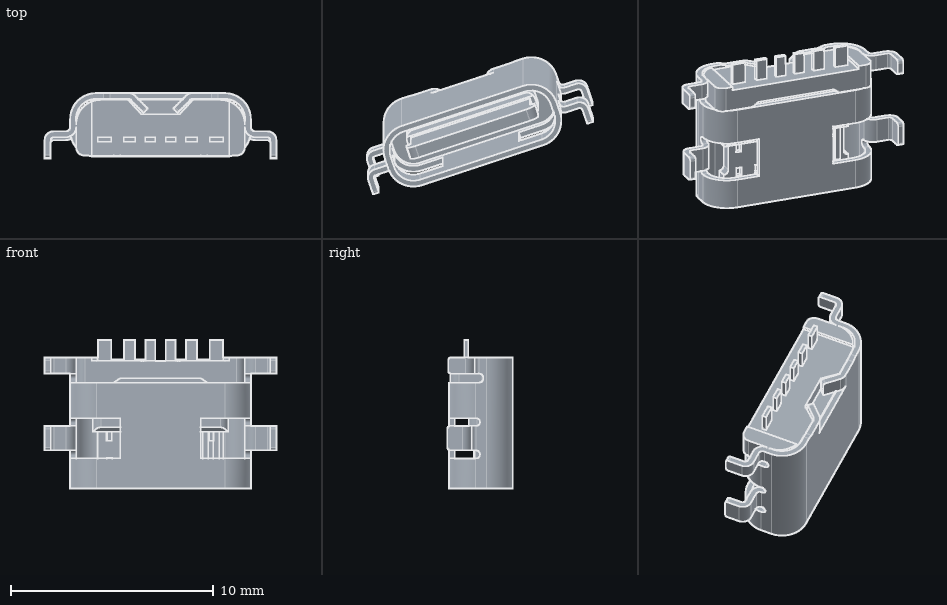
import cadquery as cq
import math


WIDTH = 8.94
DEPTH = 3.16
SHELL_TOP = 6.48
WALL = 0.3
SHELL_RADIUS = 1.3
FRONT_WALL_TOP = 5.24
HALF_WIDTH = WIDTH / 2
HALF_DEPTH = DEPTH / 2
INNER_HALF_WIDTH = HALF_WIDTH - WALL
INNER_HALF_DEPTH = HALF_DEPTH - WALL
INNER_RADIUS = SHELL_RADIUS - WALL

FOOT_SPAN = 11.46
FOOT_ROOT_RADIUS = 0.2
FOOT_KNEE_RADIUS = 0.15
FOOT_TIP_ROUND = 0.15
LOWER_FOOT_Z = (1.89, 3.10)
LOWER_FOOT_SHELF_Y = -0.457
LOWER_FOOT_TIP_Y = -1.66
UPPER_FOOT_Z = (5.68, SHELL_TOP)
UPPER_FOOT_SHELF_Y = -0.31
UPPER_FOOT_TIP_Y = -1.62

WINDOW_Z = (1.49, 3.475)
WINDOW_INNER_X = 1.98
LOWER_SLOT_END_Y = -0.04
UPPER_SLOT_END_Y = 0.13

BACK_STEP_DROP = 0.1
BACK_STEP_OUTER_X = 2.82
BACK_STEP_INNER_X = 2.51
SPRING_BOTTOM = 5.465
SPRING_TOP = SHELL_TOP - BACK_STEP_DROP
SPRING_CORNER_X = 1.4
SPRING_TIP_X = 0.63
SPRING_INNER_RADIUS = 0.2
SPRING_TIP_ROUND = 0.1

BLOCK_FRONT_Y = -1.517
BLOCK_BACK_Y = 1.245
BLOCK_FRONT_RADIUS = 0.42
BLOCK_BACK_RADIUS = 1.2
BLOCK_BOTTOM = 4.0
PIN_FLOOR_Z = 6.31
PIN_FLOOR_HALF_WIDTH = 3.39
NOTCH_OUTER_X = 1.6
NOTCH_INNER_X = 0.95
NOTCH_FLOOR_Y = 0.53
RELIEF_HEIGHT = 0.21
RELIEF_TOP_HALF_WIDTH = 2.0
RELIEF_BOTTOM_HALF_WIDTH = 2.3

BASE_HALF_WIDTH = 3.34
BASE_HALF_DEPTH = 0.6
BASE_RADIUS = 0.4
BASE_BOTTOM = 2.82
BASE_SLOPE = 0.21
TONGUE_HALF_DEPTH = 0.3
TONGUE_HALF_WIDTH = 3.1
TONGUE_TIP_Z = 0.5
TONGUE_TIP_RADIUS = 0.45
LATCH_SHOULDER_Z = 1.27

CONTACT_WIDTH = 0.27
CONTACT_OPENING_DEPTH = 0.25
CONTACT_UPPER_Z = (2.37, BASE_BOTTOM)
CONTACT_LOWER_Z = (1.1, 1.52)
CONTACT_UPPER_X = (-2.55, 2.49)
CONTACT_LOWER_X = (-2.53, -1.53)
CONTACT_LEDGE_WIDTH = 0.06
CONTACT_LEDGE_SETBACK = 0.1
PAD_CENTER_X = 2.49
PAD_WIDTH = 0.8
PAD_BOTTOM = 1.1
PAD_HEIGHT = 0.06
PAD_GROOVE_WIDTH = 0.25

PINS = ((0.5, 0.5), (1.53, 0.56), (2.76, 0.67))
PIN_TOP = 7.35
PIN_THICKNESS = 0.2
PIN_CENTER_Y = -0.72


def box(x_range, y_range, z_range):
    size = [high - low for low, high in (x_range, y_range, z_range)]
    corner = (x_range[0], y_range[0], z_range[0])
    return cq.Workplane("XY").box(*size, centered=False).translate(corner)


def centered_range(center, size):
    return (center - size / 2, center + size / 2)


def rounded_bar(half_width, half_depth, radius, z_range):
    bar = box((-half_width, half_width), (-half_depth, half_depth), z_range)
    return bar.edges("|Z").fillet(radius)


def with_mirror(shape):
    return shape.union(shape.mirror("YZ"))


def side_slot(z_range, end_y):
    """Opening through both side walls, open to the front, with a round end at end_y."""
    radius = (z_range[1] - z_range[0]) / 2
    center_y = end_y - radius
    center_z = (z_range[0] + z_range[1]) / 2
    front = box((WINDOW_INNER_X, HALF_WIDTH), (-HALF_DEPTH, center_y), z_range)
    end = (
        cq.Workplane("YZ", origin=(INNER_HALF_WIDTH - WALL, 0, 0))
        .center(center_y, center_z)
        .circle(radius)
        .extrude(2 * WALL)
    )
    return with_mirror(front.union(end))


def foot_bend_y(shelf_y):
    return shelf_y + FOOT_ROOT_RADIUS


def foot_pair(z_range, shelf_y, tip_y):
    """Two mirrored strips that leave the side walls, run outward and turn to the front."""
    outer_x = FOOT_SPAN / 2
    root_x = HALF_WIDTH + FOOT_ROOT_RADIUS
    knee_outer = FOOT_KNEE_RADIUS + WALL
    knee_x = outer_x - knee_outer
    knee_y = shelf_y - knee_outer
    foot = (
        cq.Workplane("XY", origin=(0, 0, z_range[0]))
        .moveTo(INNER_HALF_WIDTH, foot_bend_y(shelf_y))
        .lineTo(HALF_WIDTH, foot_bend_y(shelf_y))
        .radiusArc((root_x, shelf_y), -FOOT_ROOT_RADIUS)
        .lineTo(knee_x, shelf_y)
        .radiusArc((outer_x, knee_y), knee_outer)
        .lineTo(outer_x, tip_y)
        .lineTo(outer_x - WALL, tip_y)
        .lineTo(outer_x - WALL, knee_y)
        .radiusArc((knee_x, shelf_y - WALL), -FOOT_KNEE_RADIUS)
        .lineTo(root_x, shelf_y - WALL)
        .radiusArc((INNER_HALF_WIDTH, foot_bend_y(shelf_y)), FOOT_ROOT_RADIUS + WALL)
        .close()
        .extrude(z_range[1] - z_range[0])
    )
    foot = foot.faces("<Y").edges("|X").fillet(FOOT_TIP_ROUND)
    return with_mirror(foot)


def spring_pair():
    """Two mirrored tabs that leave the top of the back wall and lean inward."""
    outer_radius = SPRING_INNER_RADIUS + WALL
    bend = math.radians(45)
    tangent_length = outer_radius * math.tan(bend / 2)
    start_x = SPRING_CORNER_X + tangent_length
    leg_length = (SPRING_CORNER_X - SPRING_TIP_X) / math.cos(bend)
    center_y = HALF_DEPTH - outer_radius

    def on_bend(radius):
        return (start_x - radius * math.sin(bend), center_y + radius * math.cos(bend))

    def on_tip(radius):
        reach = (leg_length - tangent_length) * math.cos(bend)
        x, y = on_bend(radius)
        return (x - reach, y - reach)

    spring = (
        cq.Workplane("XY", origin=(0, 0, SPRING_BOTTOM))
        .moveTo(start_x, HALF_DEPTH)
        .radiusArc(on_bend(outer_radius), -outer_radius)
        .lineTo(*on_tip(outer_radius))
        .lineTo(*on_tip(SPRING_INNER_RADIUS))
        .lineTo(*on_bend(SPRING_INNER_RADIUS))
        .radiusArc((start_x, INNER_HALF_DEPTH), SPRING_INNER_RADIUS)
        .close()
        .extrude(SPRING_TOP - SPRING_BOTTOM)
    )
    tip_middle = (*on_tip((outer_radius + SPRING_INNER_RADIUS) / 2), SPRING_TOP)
    spring = spring.edges(cq.selectors.NearestToPointSelector(tip_middle)).fillet(SPRING_TIP_ROUND)
    cutout = box((-start_x, start_x), (INNER_HALF_DEPTH, HALF_DEPTH), (SPRING_BOTTOM, SHELL_TOP))
    return with_mirror(spring), cutout


def back_step():
    """Shallow step along the top edge of the back wall, with sloping ends."""
    return (
        cq.Workplane("XZ", origin=(0, HALF_DEPTH, 0))
        .moveTo(-BACK_STEP_OUTER_X, SHELL_TOP)
        .lineTo(-BACK_STEP_INNER_X, SPRING_TOP)
        .lineTo(BACK_STEP_INNER_X, SPRING_TOP)
        .lineTo(BACK_STEP_OUTER_X, SHELL_TOP)
        .close()
        .extrude(WALL)
    )


def make_shell():
    full_height = (0, SHELL_TOP)
    shell = rounded_bar(HALF_WIDTH, HALF_DEPTH, SHELL_RADIUS, full_height)
    shell = shell.cut(rounded_bar(INNER_HALF_WIDTH, INNER_HALF_DEPTH, INNER_RADIUS, full_height))

    lower_bend_y = foot_bend_y(LOWER_FOOT_SHELF_Y)
    window = box((WINDOW_INNER_X, HALF_WIDTH), (-HALF_DEPTH, lower_bend_y), WINDOW_Z)
    shell = shell.cut(with_mirror(window))
    shell = shell.cut(side_slot((WINDOW_Z[0], LOWER_FOOT_Z[0]), LOWER_SLOT_END_Y))
    shell = shell.cut(side_slot((LOWER_FOOT_Z[1], WINDOW_Z[1]), LOWER_SLOT_END_Y))

    upper_bend_y = foot_bend_y(UPPER_FOOT_SHELF_Y)
    front_opening_z = (FRONT_WALL_TOP, SHELL_TOP)
    shell = shell.cut(box((-HALF_WIDTH, HALF_WIDTH), (-HALF_DEPTH, upper_bend_y), front_opening_z))
    shell = shell.cut(side_slot((FRONT_WALL_TOP, UPPER_FOOT_Z[0]), UPPER_SLOT_END_Y))

    springs, spring_cutout = spring_pair()
    shell = shell.cut(back_step()).cut(spring_cutout).union(springs)
    shell = shell.union(foot_pair(LOWER_FOOT_Z, LOWER_FOOT_SHELF_Y, LOWER_FOOT_TIP_Y))
    return shell.union(foot_pair(UPPER_FOOT_Z, UPPER_FOOT_SHELF_Y, UPPER_FOOT_TIP_Y))


def block_relief():
    """Trapezoidal pocket in the front of the block, just above the front wall."""
    return (
        cq.Workplane("XZ", origin=(0, -INNER_HALF_DEPTH, FRONT_WALL_TOP))
        .moveTo(-RELIEF_BOTTOM_HALF_WIDTH, 0)
        .lineTo(-RELIEF_TOP_HALF_WIDTH, RELIEF_HEIGHT)
        .lineTo(RELIEF_TOP_HALF_WIDTH, RELIEF_HEIGHT)
        .lineTo(RELIEF_BOTTOM_HALF_WIDTH, 0)
        .close()
        .extrude(HALF_DEPTH - INNER_HALF_DEPTH)
    )


def spring_notch():
    """Notch in the back of the block that leaves room for the spring tabs."""
    return (
        cq.Workplane("XY", origin=(0, 0, SPRING_BOTTOM))
        .moveTo(-NOTCH_OUTER_X, BLOCK_BACK_Y)
        .lineTo(-NOTCH_INNER_X, NOTCH_FLOOR_Y)
        .lineTo(NOTCH_INNER_X, NOTCH_FLOOR_Y)
        .lineTo(NOTCH_OUTER_X, BLOCK_BACK_Y)
        .close()
        .extrude(SHELL_TOP - SPRING_BOTTOM)
    )


def make_block():
    sides = (-INNER_HALF_WIDTH, INNER_HALF_WIDTH)
    block = box(sides, (BLOCK_FRONT_Y, BLOCK_BACK_Y), (BLOCK_BOTTOM, SHELL_TOP))
    block = block.edges("|Z and <Y").fillet(BLOCK_FRONT_RADIUS)
    block = block.edges("|Z and >Y").fillet(BLOCK_BACK_RADIUS)

    plug_z = (BLOCK_BOTTOM, FRONT_WALL_TOP)
    cavity = rounded_bar(INNER_HALF_WIDTH, INNER_HALF_DEPTH, INNER_RADIUS, plug_z)
    plug = block.intersect(cavity)
    head = block.intersect(box(sides, (-HALF_DEPTH, HALF_DEPTH), (FRONT_WALL_TOP, SHELL_TOP)))
    block = head.union(plug)

    floor_x = (-PIN_FLOOR_HALF_WIDTH, PIN_FLOOR_HALF_WIDTH)
    block = block.cut(box(floor_x, (-HALF_DEPTH, HALF_DEPTH), (PIN_FLOOR_Z, SHELL_TOP)))
    return block.cut(block_relief()).cut(spring_notch())


def tongue_base():
    """Thick root of the tongue; its lower front and back edges have 45 degree chamfers."""
    base_z = (BASE_BOTTOM, BLOCK_BOTTOM)
    base = rounded_bar(BASE_HALF_WIDTH, BASE_HALF_DEPTH, BASE_RADIUS, base_z)
    slope_top = BASE_BOTTOM + BASE_SLOPE
    bottom_half_depth = BASE_HALF_DEPTH - BASE_SLOPE
    envelope = (
        cq.Workplane("YZ", origin=(-BASE_HALF_WIDTH, 0, 0))
        .moveTo(-bottom_half_depth, BASE_BOTTOM)
        .lineTo(-BASE_HALF_DEPTH, slope_top)
        .lineTo(-BASE_HALF_DEPTH, BLOCK_BOTTOM)
        .lineTo(BASE_HALF_DEPTH, BLOCK_BOTTOM)
        .lineTo(BASE_HALF_DEPTH, slope_top)
        .lineTo(bottom_half_depth, BASE_BOTTOM)
        .close()
        .extrude(2 * BASE_HALF_WIDTH)
    )
    return base.intersect(envelope)


def tongue_blade():
    """Flat tongue, wider at the tip, so that each side has a hollow-curved shoulder for a latch."""
    shoulder_radius = BASE_HALF_WIDTH - TONGUE_HALF_WIDTH
    shoulder_top = LATCH_SHOULDER_Z + shoulder_radius
    blade = (
        cq.Workplane("XZ", origin=(0, TONGUE_HALF_DEPTH, 0))
        .moveTo(-TONGUE_HALF_WIDTH, BASE_BOTTOM)
        .lineTo(-TONGUE_HALF_WIDTH, shoulder_top)
        .radiusArc((-BASE_HALF_WIDTH, LATCH_SHOULDER_Z), shoulder_radius)
        .lineTo(-BASE_HALF_WIDTH, TONGUE_TIP_Z)
        .lineTo(BASE_HALF_WIDTH, TONGUE_TIP_Z)
        .lineTo(BASE_HALF_WIDTH, LATCH_SHOULDER_Z)
        .radiusArc((TONGUE_HALF_WIDTH, shoulder_top), shoulder_radius)
        .lineTo(TONGUE_HALF_WIDTH, BASE_BOTTOM)
        .close()
        .extrude(2 * TONGUE_HALF_DEPTH)
    )
    return blade.faces("<Z").edges("|Y").fillet(TONGUE_TIP_RADIUS)


def make_tongue():
    tongue = tongue_blade()
    pad_z = (PAD_BOTTOM, BASE_BOTTOM)
    pad_y = (-TONGUE_HALF_DEPTH - PAD_HEIGHT, -TONGUE_HALF_DEPTH)
    tongue = tongue.union(box(centered_range(PAD_CENTER_X, PAD_WIDTH), pad_y, pad_z))
    tongue = tongue.cut(box(centered_range(PAD_CENTER_X, PAD_GROOVE_WIDTH), pad_y, pad_z))
    opening_y = (-TONGUE_HALF_DEPTH, CONTACT_OPENING_DEPTH - TONGUE_HALF_DEPTH)
    for columns, z_range in ((CONTACT_UPPER_X, CONTACT_UPPER_Z), (CONTACT_LOWER_X, CONTACT_LOWER_Z)):
        for x in columns:
            tongue = tongue.cut(box(centered_range(x, CONTACT_WIDTH), opening_y, z_range))

    ledge_y = (CONTACT_LEDGE_SETBACK - TONGUE_HALF_DEPTH, opening_y[1])
    for x in CONTACT_UPPER_X:
        left_x = x - CONTACT_WIDTH / 2
        ledge_x = (left_x, left_x + CONTACT_LEDGE_WIDTH)
        tongue = tongue.union(box(ledge_x, ledge_y, CONTACT_UPPER_Z))
    return tongue.union(tongue_base())


def make_pins():
    pins = cq.Workplane("XY")
    y_range = centered_range(PIN_CENTER_Y, PIN_THICKNESS)
    for offset, width in PINS:
        pins = pins.add(with_mirror(box(centered_range(offset, width), y_range, (PIN_FLOOR_Z, PIN_TOP))))
    return pins.combine()


result = make_shell().union(make_block()).union(make_tongue()).union(make_pins())